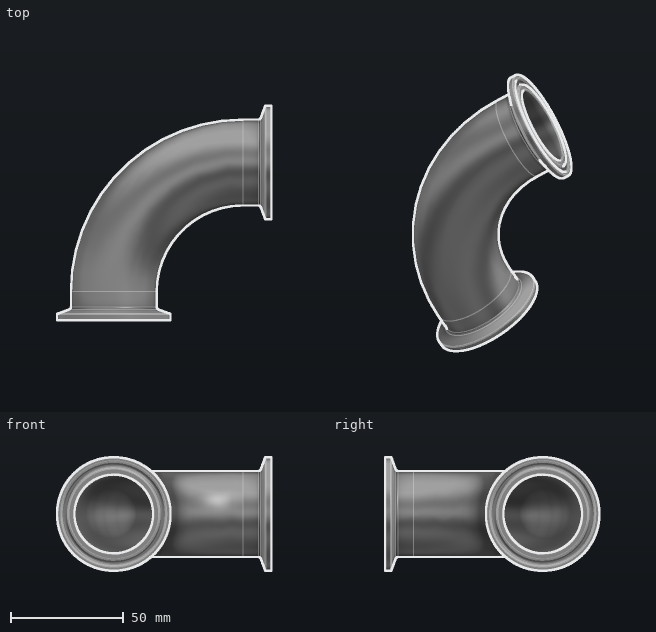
import cadquery as cq
import math


tube_diameter = 38.1
bore_diameter = 34.8
tube_radius = tube_diameter / 2
bore_radius = bore_diameter / 2
bend_radius = 1.5 * tube_diameter

ferrule_length = 12.7
flange_radius = 50.39 / 2
flange_rim_thickness = 2.85
flange_back_angle = math.radians(20)
flange_neck_fillet = 1.15
flange_rim_fillet = 0.4
bore_edge_fillet = 0.4

groove_mean_radius = 21.7
groove_depth = 1.6
groove_bottom_radius = 1.25
groove_flank_angle = math.radians(20)
groove_edge_fillet = 0.5

groove_tangent_height = groove_depth - groove_bottom_radius * (1 - math.sin(groove_flank_angle))
groove_tangent_half_width = groove_bottom_radius * math.cos(groove_flank_angle)
groove_mouth_half_width = groove_tangent_half_width + groove_tangent_height * math.tan(groove_flank_angle)

port_distance = bend_radius + ferrule_length
neck_height = flange_rim_thickness + (flange_radius - tube_radius) * math.tan(flange_back_angle)


def circular_edges(body, radius, height):
    """Circular edges of a body turned about Z, picked by their radius and height."""
    tolerance = 0.01
    found = []
    for edge in body.edges("%CIRCLE").vals():
        same_radius = abs(edge.radius() - radius) < tolerance
        same_height = abs(edge.Center().z - height) < tolerance
        if same_radius and same_height:
            found.append(edge)
    return body.newObject(found)


def make_groove():
    """Ring to be cut from the sealing face for the gasket."""
    return (
        cq.Workplane("XZ")
        .moveTo(groove_mean_radius - groove_mouth_half_width, 0)
        .lineTo(groove_mean_radius - groove_tangent_half_width, groove_tangent_height)
        .threePointArc(
            (groove_mean_radius, groove_depth),
            (groove_mean_radius + groove_tangent_half_width, groove_tangent_height),
        )
        .lineTo(groove_mean_radius + groove_mouth_half_width, 0)
        .close()
        .revolve(360, (0, 0, 0), (0, 1, 0))
    )


def make_ferrule():
    """Ferrule standing on Z = 0 with its sealing face down."""
    ferrule = (
        cq.Workplane("XZ")
        .moveTo(bore_radius, 0)
        .lineTo(flange_radius, 0)
        .lineTo(flange_radius, flange_rim_thickness)
        .lineTo(tube_radius, neck_height)
        .lineTo(tube_radius, ferrule_length)
        .lineTo(bore_radius, ferrule_length)
        .close()
        .revolve(360, (0, 0, 0), (0, 1, 0))
    )
    ferrule = ferrule.cut(make_groove())

    for side in (-1, 1):
        groove_edge_radius = groove_mean_radius + side * groove_mouth_half_width
        ferrule = circular_edges(ferrule, groove_edge_radius, 0).fillet(groove_edge_fillet)
    for height in (0, flange_rim_thickness):
        ferrule = circular_edges(ferrule, flange_radius, height).fillet(flange_rim_fillet)
    ferrule = circular_edges(ferrule, tube_radius, neck_height).fillet(flange_neck_fillet)
    return circular_edges(ferrule, bore_radius, 0).fillet(bore_edge_fillet)


def make_bend():
    """Quarter-turn tube from the -Y ferrule round to the +X ferrule."""
    return (
        cq.Workplane("XZ", origin=(0, -bend_radius, 0))
        .circle(tube_radius)
        .circle(bore_radius)
        .revolve(90, (bend_radius, 0, 0), (bend_radius, -1, 0))
    )


ferrule_y = make_ferrule().rotate((0, 0, 0), (1, 0, 0), -90).translate((0, -port_distance, 0))
ferrule_x = ferrule_y.rotate((0, 0, 0), (0, 0, 1), 90)

result = make_bend().union(ferrule_y).union(ferrule_x)